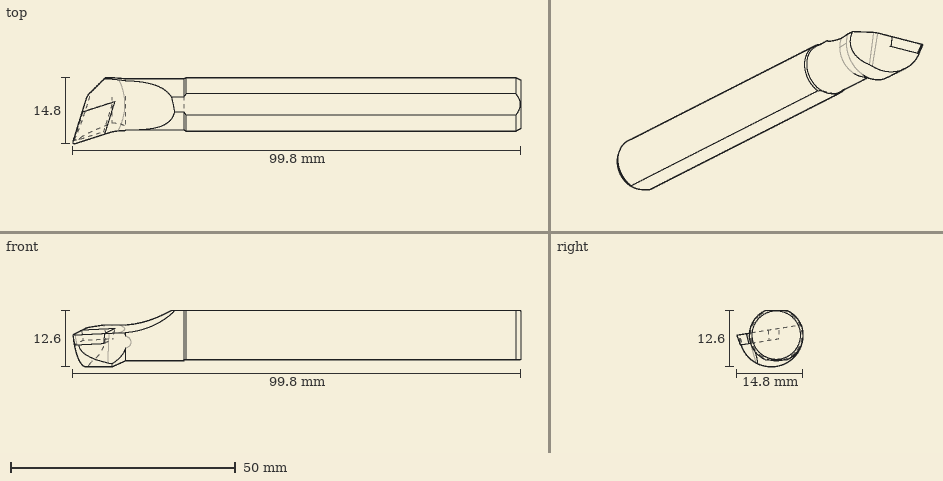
import cadquery as cq
import math

LENGTH = 99.8
SHANK_RADIUS = 6.0
FLAT_HEIGHT = 5.5
NECK_STEP = 0.25
NECK_RADIUS = SHANK_RADIUS - NECK_STEP
NECK_END = 24.7
SHANK_START = 25.2
END_CHAMFER_LENGTH = 1.2
END_CHAMFER_DEPTH = 0.6

HEAD_RADIUS = 7.1
HEAD_CENTRE_Y = SHANK_RADIUS - HEAD_RADIUS
HEAD_END = 8.8
NECK_START = 11.8
CLEARANCE_LENGTH = 8.7
CLEARANCE_RADIUS = 9.5
CORNER_Y = 1.5
BEVEL_MIDDLE = (3.5, 2.3)
BEVEL_END = (7.2, SHANK_RADIUS)
RELIEF = 7.0
OVERSIZE = 29.9

TIP_Y = -8.8
RAKE = math.radians(9)
RAKE_PLANE = cq.Plane(
    origin=(0, 0, -TIP_Y * math.tan(RAKE)),
    xDir=(1, 0, 0),
    normal=(0, -math.sin(RAKE), math.cos(RAKE)),
)

SCOOP_CENTRE_X = -1.0
SCOOP_FLOOR_RADIUS = 12.6
SCOOP_ARC_RADIUS = 16.5

INSERT_SIDE = 7.7
INSERT_THICKNESS = 2.3
NOSE_RADIUS = 0.4
SIDE_EDGE = math.radians(18)
END_EDGE = math.radians(73)
BISECTOR = (SIDE_EDGE + END_EDGE) / 2
NOSE_OFFSET = NOSE_RADIUS / math.sin((END_EDGE - SIDE_EDGE) / 2)
CORNER = (
    NOSE_RADIUS - NOSE_OFFSET * math.cos(BISECTOR),
    TIP_Y / math.cos(RAKE) + NOSE_RADIUS - NOSE_OFFSET * math.sin(BISECTOR),
)


def along(start, angle, distance):
    """Point reached from start in the given direction."""
    return (start[0] + distance * math.cos(angle), start[1] + distance * math.sin(angle))


def make_shank():
    """Turned neck and shank with flats on top and bottom."""
    turned = (
        cq.Workplane("XY")
        .moveTo(NECK_START, 0)
        .lineTo(NECK_START, NECK_RADIUS)
        .lineTo(NECK_END, NECK_RADIUS)
        .lineTo(SHANK_START, SHANK_RADIUS)
        .lineTo(LENGTH - END_CHAMFER_LENGTH, SHANK_RADIUS)
        .lineTo(LENGTH, SHANK_RADIUS - END_CHAMFER_DEPTH)
        .lineTo(LENGTH, 0)
        .close()
        .revolve(360, (0, 0, 0), (1, 0, 0))
    )
    top_flat = cq.Workplane("XY").box(2 * LENGTH, OVERSIZE, OVERSIZE).translate(
        (LENGTH, 0, FLAT_HEIGHT + OVERSIZE / 2)
    )
    bottom_flat = (
        cq.Workplane("XY")
        .box(LENGTH, OVERSIZE, OVERSIZE, centered=(False, True, False))
        .translate((NECK_END, 0, -FLAT_HEIGHT - OVERSIZE))
    )
    return turned.cut(top_flat).cut(bottom_flat)


def make_head_blank():
    """Offset round head with a taper down to the neck."""
    taper = (
        cq.Workplane("YZ", origin=(HEAD_END, 0, 0))
        .center(HEAD_CENTRE_Y, 0)
        .circle(HEAD_RADIUS)
        .workplane(offset=NECK_START - HEAD_END)
        .center(-HEAD_CENTRE_Y, 0)
        .circle(NECK_RADIUS)
        .loft()
    )
    barrel = cq.Workplane("YZ").center(HEAD_CENTRE_Y, 0).circle(HEAD_RADIUS).extrude(HEAD_END)
    return barrel.union(taper)


def head_outline():
    """Envelope that trims the sides of the holder; its flanks lean inwards below the rake plane."""
    bevel_start = along(CORNER, END_EDGE, (CORNER_Y - CORNER[1]) / math.sin(END_EDGE))
    clearance_start = along(CORNER, SIDE_EDGE, CLEARANCE_LENGTH)
    half_width = CLEARANCE_RADIUS * math.sin(SIDE_EDGE)
    rise = CLEARANCE_RADIUS * (1 - math.cos(SIDE_EDGE))
    crest = (clearance_start[0] + half_width, clearance_start[1] + rise)
    clearance_end = (crest[0] + half_width, clearance_start[1])
    outline = (
        cq.Workplane(RAKE_PLANE)
        .moveTo(*CORNER)
        .lineTo(*bevel_start)
        .lineTo(*BEVEL_MIDDLE)
        .lineTo(*BEVEL_END)
        .lineTo(BEVEL_END[0], OVERSIZE)
        .lineTo(2 * LENGTH, OVERSIZE)
        .lineTo(2 * LENGTH, -OVERSIZE)
        .lineTo(clearance_end[0], -OVERSIZE)
        .lineTo(*clearance_end)
        .threePointArc(crest, clearance_start)
        .close()
    )
    below = outline.extrude(-OVERSIZE / 2, taper=RELIEF)
    above = outline.toPending().extrude(OVERSIZE)
    return below.union(above)


def chip_scoop():
    """Space above the rake plane, with a concave wall that runs out through the top flat."""
    rim_radius = SCOOP_FLOOR_RADIUS + SCOOP_ARC_RADIUS
    bend = SCOOP_ARC_RADIUS * math.sqrt(0.5)
    centre = RAKE_PLANE.toWorldCoords((SCOOP_CENTRE_X, 0, 0))
    profile = cq.Plane(origin=centre, xDir=(1, 0, 0), normal=RAKE_PLANE.yDir * -1)
    return (
        cq.Workplane(profile)
        .lineTo(SCOOP_FLOOR_RADIUS, 0)
        .threePointArc(
            (SCOOP_FLOOR_RADIUS + bend, SCOOP_ARC_RADIUS - bend),
            (rim_radius, SCOOP_ARC_RADIUS),
        )
        .lineTo(0, SCOOP_ARC_RADIUS)
        .close()
        .revolve(360, (0, 0, 0), (0, 1, 0))
    )


def make_insert():
    """Rhombic cutting insert whose flanks lean inwards below the cutting edges."""
    side_corner = along(CORNER, SIDE_EDGE, INSERT_SIDE)
    end_corner = along(CORNER, END_EDGE, INSERT_SIDE)
    far_corner = along(side_corner, END_EDGE, INSERT_SIDE)
    blank = (
        cq.Workplane(RAKE_PLANE)
        .polyline([CORNER, side_corner, far_corner, end_corner])
        .close()
        .extrude(-INSERT_THICKNESS, taper=RELIEF)
    )
    nose_point = RAKE_PLANE.toWorldCoords((*CORNER, -INSERT_THICKNESS / 2))
    nose_edge = cq.selectors.NearestToPointSelector(nose_point.toTuple())
    return blank.edges(nose_edge).fillet(NOSE_RADIUS)


insert = make_insert()
holder = (
    make_shank()
    .union(make_head_blank())
    .intersect(head_outline())
    .cut(chip_scoop())
    .cut(insert)
)

result = cq.Compound.makeCompound([holder.val(), insert.val()])